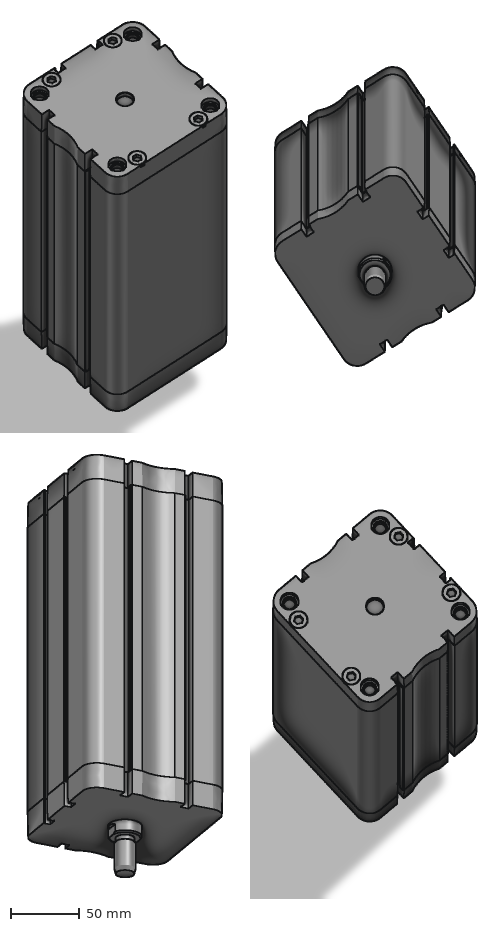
import cadquery as cq
import math

SIDE = 113.5
TOTAL_LENGTH = 305.0
ROD_REACH = 38.0
CORNER_RADIUS = 12.2
CAP_LENGTH = 19.5
CAP_DRAFT_ANGLE = 1.2

HALF_SIDE = SIDE / 2
HOUSING_LENGTH = TOTAL_LENGTH - ROD_REACH
BARREL_LENGTH = HOUSING_LENGTH - 2 * CAP_LENGTH

SLOT_WIDTH = 6.5
Y_SLOT_OFFSET = 24.7
Y_SLOT_DEPTH = 6.7
X_SLOT_OFFSET = 17.5
X_SLOT_DEPTH = 5.8
CAP_SLOT_CLEARANCE = 0.5

LIP_SETBACK = 0.5
INNER_LIP_WIDTH = 1.0
Y_LIP_DEPTH = 3.7
X_LIP_DEPTH = 1.5
OUTER_LIP_WIDTH = 0.3

HOLLOW_WIDTH = 26.5
HOLLOW_DEPTH = 2.7

CENTER_HOLE_DIAMETER = 12.8
CENTER_HOLE_CHAMFER = 0.3
CHAMFER_ANGLE = 45
CENTER_HOLE_DEPTH = 4.3
MOUNT_PITCH = 89.0
MOUNT_BORE_DIAMETER = 13.5
MOUNT_BORE_DEPTH = 4.3
MOUNT_HOLE_DIAMETER = 10.0
MOUNT_HOLE_DEPTH = 5.5
MOUNT_CORE_DIAMETER = 8.5
MOUNT_CORE_DEPTH = 9.0
SCREW_PITCH_X = 98.2
SCREW_PITCH_Y = 58.5
SCREW_BORE_DIAMETER = 13.5
SCREW_HEAD_DIAMETER = 12.8
SCREW_GAP_DEPTH = 3.0
SOCKET_CORNER_DIAMETER = 7.0
SOCKET_DEPTH = 3.0
SOCKET_TURN = 30

ROD_DIAMETER = 25.0
COLLAR_LENGTH = 9.8
COLLAR_CHAMFER = 1.2
FLATS_WIDTH = 22.0
FLATS_GAP = 2.7
FLATS_RUNOUT = 1.2
NECK_DIAMETER = 14.0
NECK_LENGTH = 3.5
THREAD_DIAMETER = 16.0
THREAD_TIP_DIAMETER = 13.7
THREAD_CHAMFER = 0.5
TIP_LENGTH = 3.7


def block(x_range, y_range, length):
    x_size = x_range[1] - x_range[0]
    y_size = y_range[1] - y_range[0]
    corner = (x_range[0], y_range[0], 0)
    return cq.Workplane("XY").box(x_size, y_size, length, centered=False).translate(corner)


def y_side_copies(shape):
    """The shape and its mirror images, so that both Y sides carry a pair."""
    pair = shape.union(shape.mirror("YZ"))
    return pair.union(pair.mirror("XZ"))


def y_slots(length, depth):
    """Slots in both Y sides, without lips."""
    x_range = (Y_SLOT_OFFSET - SLOT_WIDTH / 2, Y_SLOT_OFFSET + SLOT_WIDTH / 2)
    return y_side_copies(block(x_range, (HALF_SIDE - depth, HALF_SIDE), length))


def y_lips(length):
    inner_edge = Y_SLOT_OFFSET - SLOT_WIDTH / 2
    y_range = (HALF_SIDE - Y_LIP_DEPTH, HALF_SIDE - LIP_SETBACK)
    return y_side_copies(block((inner_edge, inner_edge + INNER_LIP_WIDTH), y_range, length))


def x_slots(length, clearance):
    """Slots in the -X side; their outer wall is undercut behind a narrow lip at the mouth."""
    inner_edge = X_SLOT_OFFSET - SLOT_WIDTH / 2
    outer_edge = X_SLOT_OFFSET + SLOT_WIDTH / 2
    mouth_x_range = (-HALF_SIDE, -HALF_SIDE + X_LIP_DEPTH)
    cavity_x_range = (-HALF_SIDE + X_LIP_DEPTH, -HALF_SIDE + X_SLOT_DEPTH)
    mouth = block(mouth_x_range, (inner_edge, outer_edge - OUTER_LIP_WIDTH), length)
    slot = mouth.union(block(cavity_x_range, (inner_edge, outer_edge + clearance), length))
    return slot.union(slot.mirror("XZ"))


def x_lips(length):
    inner_edge = X_SLOT_OFFSET - SLOT_WIDTH / 2
    x_range = (-HALF_SIDE + LIP_SETBACK, -HALF_SIDE + X_LIP_DEPTH)
    lip = block(x_range, (inner_edge, inner_edge + INNER_LIP_WIDTH), length)
    return lip.union(lip.mirror("XZ"))


def outline():
    """Rounded square with a shallow arc hollowed into each Y side."""
    straight = HALF_SIDE - CORNER_RADIUS
    diagonal = straight + CORNER_RADIUS / math.sqrt(2)
    bottom = HALF_SIDE - HOLLOW_DEPTH
    edge = HOLLOW_WIDTH / 2
    return (
        cq.Workplane("XY")
        .moveTo(edge, -HALF_SIDE)
        .lineTo(straight, -HALF_SIDE)
        .threePointArc((diagonal, -diagonal), (HALF_SIDE, -straight))
        .lineTo(HALF_SIDE, straight)
        .threePointArc((diagonal, diagonal), (straight, HALF_SIDE))
        .lineTo(edge, HALF_SIDE)
        .threePointArc((0, bottom), (-edge, HALF_SIDE))
        .lineTo(-straight, HALF_SIDE)
        .threePointArc((-diagonal, diagonal), (-HALF_SIDE, straight))
        .lineTo(-HALF_SIDE, -straight)
        .threePointArc((-diagonal, -diagonal), (-straight, -HALF_SIDE))
        .lineTo(-edge, -HALF_SIDE)
        .threePointArc((0, -bottom), (edge, -HALF_SIDE))
        .close()
    )


def make_barrel():
    barrel = outline().extrude(BARREL_LENGTH)
    barrel = barrel.cut(y_slots(BARREL_LENGTH, Y_SLOT_DEPTH).cut(y_lips(BARREL_LENGTH)))
    barrel = barrel.cut(x_slots(BARREL_LENGTH, 0).cut(x_lips(BARREL_LENGTH)))
    return barrel.translate((0, 0, CAP_LENGTH))


def cap_blank():
    """Cap standing on its barrel face and tapering toward its outer face."""
    cap = outline().extrude(CAP_LENGTH, taper=CAP_DRAFT_ANGLE)
    cap = cap.cut(y_slots(CAP_LENGTH, Y_SLOT_DEPTH + CAP_SLOT_CLEARANCE))
    return cap.cut(x_slots(CAP_LENGTH, CAP_SLOT_CLEARANCE))


def make_front_cap():
    cap = cap_blank().mirror("XY").translate((0, 0, CAP_LENGTH))
    return cap.cut(cq.Workplane("XY").circle(ROD_DIAMETER / 2).extrude(CAP_LENGTH))


def make_rear_cap():
    cap = cap_blank()
    face = cq.Workplane("XY").workplane(offset=CAP_LENGTH)
    cap = cap.cut(face.circle(CENTER_HOLE_DIAMETER / 2).extrude(-CENTER_HOLE_DEPTH))
    rim_radius = CENTER_HOLE_DIAMETER / 2 + CENTER_HOLE_CHAMFER
    cap = cap.cut(face.circle(rim_radius).extrude(-CENTER_HOLE_CHAMFER, taper=CHAMFER_ANGLE))

    mounts = face.rect(MOUNT_PITCH, MOUNT_PITCH, forConstruction=True).vertices()
    cap = cap.cut(mounts.circle(MOUNT_BORE_DIAMETER / 2).extrude(-MOUNT_BORE_DEPTH))
    cap = cap.cut(mounts.circle(MOUNT_HOLE_DIAMETER / 2).extrude(-MOUNT_HOLE_DEPTH))
    cap = cap.cut(mounts.circle(MOUNT_CORE_DIAMETER / 2).extrude(-MOUNT_CORE_DEPTH))

    screws = face.rect(SCREW_PITCH_X, SCREW_PITCH_Y, forConstruction=True).vertices()
    gaps = screws.circle(SCREW_BORE_DIAMETER / 2).circle(SCREW_HEAD_DIAMETER / 2)
    cap = cap.cut(gaps.extrude(-SCREW_GAP_DEPTH))
    socket = cq.Workplane("XY").polygon(6, SOCKET_CORNER_DIAMETER).extrude(-SOCKET_DEPTH)
    socket = socket.rotate((0, 0, 0), (0, 0, 1), SOCKET_TURN)
    for x in (-SCREW_PITCH_X / 2, SCREW_PITCH_X / 2):
        for y in (-SCREW_PITCH_Y / 2, SCREW_PITCH_Y / 2):
            cap = cap.cut(socket.translate((x, y, CAP_LENGTH)))
    return cap.translate((0, 0, HOUSING_LENGTH - CAP_LENGTH))


def make_rod():
    radius = ROD_DIAMETER / 2
    neck_radius = NECK_DIAMETER / 2
    thread_radius = THREAD_DIAMETER / 2
    neck_end = -COLLAR_LENGTH - NECK_LENGTH
    profile = [
        (0, CAP_LENGTH),
        (radius, CAP_LENGTH),
        (radius, -COLLAR_LENGTH + COLLAR_CHAMFER),
        (radius - COLLAR_CHAMFER, -COLLAR_LENGTH),
        (neck_radius, -COLLAR_LENGTH),
        (neck_radius, neck_end),
        (thread_radius, neck_end - THREAD_CHAMFER),
        (thread_radius, -ROD_REACH + TIP_LENGTH),
        (THREAD_TIP_DIAMETER / 2, -ROD_REACH),
        (0, -ROD_REACH),
    ]
    rod = cq.Workplane("XZ").polyline(profile).close().revolve(360, (0, 0, 0), (0, 1, 0))

    flat_x = FLATS_WIDTH / 2
    flat_profile = [
        (flat_x, -COLLAR_LENGTH),
        (flat_x, -FLATS_GAP),
        (radius, FLATS_RUNOUT - FLATS_GAP),
        (radius, -COLLAR_LENGTH),
    ]
    flat = cq.Workplane("XZ").polyline(flat_profile).close().extrude(radius, both=True)
    return rod.cut(flat).cut(flat.mirror("YZ"))


barrel = make_barrel()
front_cap = make_front_cap()
rear_cap = make_rear_cap()
piston_rod = make_rod()

bodies = [barrel, front_cap, rear_cap, piston_rod]
result = cq.Compound.makeCompound([body.solids().val() for body in bodies])